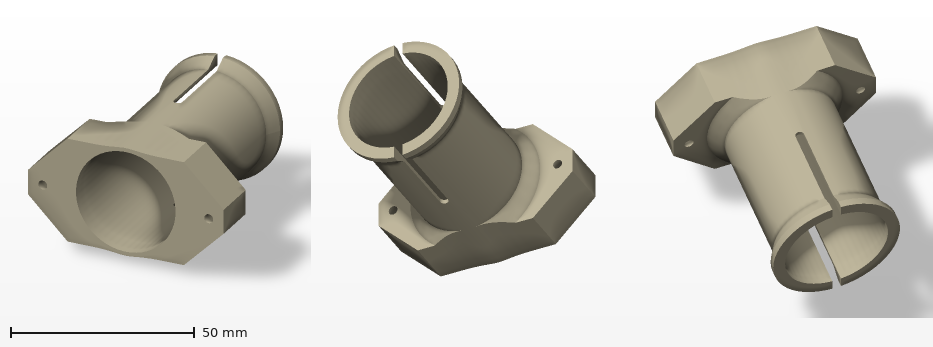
import cadquery as cq
import math


length = 61.0
bore_radius = 30.0 / 2
tube_radius = 32.4 / 2
rim_radius = 18.5
rim_width = 2.0
rim_taper_length = 3.95

flange_half_width = 59.05 / 2
flange_half_height = 15.5
flange_edge_thickness = 13.9
flange_corner_x = 17.5
flange_end_half_height = 3.6
blend_radius = 59.95

shoulder_end = 18.0
shoulder_radius = 19.75
shoulder_start = 14.1

hole_diameter = 2.7
hole_x = 25.0
slot_width = 2.5
slot_bottom = 31.9


def along_y():
    """XZ workplane at the front face; negative extrusions run toward +Y."""
    return cq.Workplane("XZ")


def revolve_about_y(points):
    """Solid of revolution from (radius, Y) points."""
    return cq.Workplane("XY").polyline(points).close().revolve(360, (0, 0, 0), (0, 1, 0))


def make_tube():
    taper_end = length - rim_width
    return revolve_about_y([
        (0, 0),
        (tube_radius, 0),
        (tube_radius, taper_end - rim_taper_length),
        (rim_radius, taper_end),
        (rim_radius, length),
        (0, length),
    ])


def make_outline_prism(depth):
    """Octagonal plate whose long sides sweep up tangentially onto the tube."""
    center_z = flange_half_height + blend_radius
    center_distance = tube_radius + blend_radius
    blend_x = math.sqrt(center_distance**2 - center_z**2)
    lean = math.atan2(blend_x, center_z)
    tube_x = tube_radius * math.sin(lean)
    tube_z = tube_radius * math.cos(lean)
    middle_x = blend_x - blend_radius * math.sin(lean / 2)
    middle_z = center_z - blend_radius * math.cos(lean / 2)

    outline = along_y().moveTo(-flange_half_width, flange_end_half_height)
    for side in (1, -1):
        outline = (
            outline
            .lineTo(-side * flange_corner_x, side * flange_half_height)
            .lineTo(-side * blend_x, side * flange_half_height)
            .threePointArc((-side * middle_x, side * middle_z), (-side * tube_x, side * tube_z))
            .threePointArc((0, side * tube_radius), (side * tube_x, side * tube_z))
            .threePointArc((side * middle_x, side * middle_z), (side * blend_x, side * flange_half_height))
            .lineTo(side * flange_corner_x, side * flange_half_height)
            .lineTo(side * flange_half_width, side * flange_end_half_height)
            .lineTo(side * flange_half_width, -side * flange_end_half_height)
        )
    return outline.close().extrude(-depth)


def make_flange():
    """Flange with a back that slopes slightly and rises along a conical shoulder to the tube."""
    envelope_radius = math.hypot(flange_half_width, flange_half_height)
    envelope = revolve_about_y([
        (0, 0),
        (envelope_radius, 0),
        (envelope_radius, flange_edge_thickness),
        (shoulder_radius, shoulder_start),
        (tube_radius, shoulder_end),
        (0, shoulder_end),
    ])
    return envelope.intersect(make_outline_prism(shoulder_end))


def make_slot():
    """Round-bottomed slot cutting through both walls of the tube, open at the rim."""
    slot_radius = slot_width / 2
    return (
        cq.Workplane("XY", origin=(0, 0, -rim_radius))
        .moveTo(-slot_radius, length)
        .lineTo(-slot_radius, slot_bottom + slot_radius)
        .threePointArc((0, slot_bottom), (slot_radius, slot_bottom + slot_radius))
        .lineTo(slot_radius, length)
        .close()
        .extrude(2 * rim_radius)
    )


bore = along_y().circle(bore_radius).extrude(-length)
mounting_holes = (
    along_y()
    .pushPoints([(-hole_x, 0), (hole_x, 0)])
    .circle(hole_diameter / 2)
    .extrude(-shoulder_end)
)

body = make_flange().union(make_tube()).clean()
result = body.cut(bore).cut(mounting_holes).cut(make_slot())